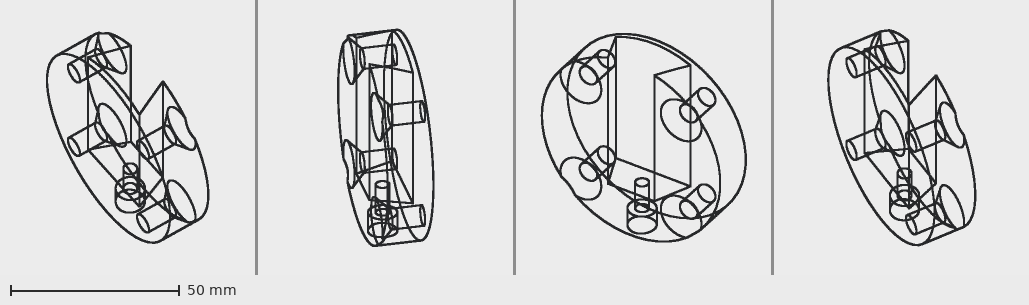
import cadquery as cq

plate_diameter = 63.0
plate_thickness = 14.0
front_y = -plate_thickness / 2
back_y = plate_thickness / 2

mount_hole_diameter = 6.2
mount_hole_spacing = 35.35
countersink_diameter = 14.35
countersink_angle = 90.0

slot_web = 1.9
slot_mouth_width = 16.4
slot_root_width = 26.35
slot_end_z = -15.75

screw_hole_diameter = 4.15
screw_head_diameter = 8.7
screw_head_depth = 6.3

plate_radius = plate_diameter / 2
slot_root_y = front_y + slot_web
screw_y = (slot_root_y + back_y) / 2


def make_plate():
    """Disk with the countersunk holes entered from the back face."""
    disk = cq.Workplane("XZ", origin=(0, back_y, 0)).circle(plate_radius).extrude(plate_thickness)
    return (
        disk.faces(">Y")
        .workplane(centerOption="CenterOfBoundBox")
        .rect(mount_hole_spacing, mount_hole_spacing, forConstruction=True)
        .vertices()
        .cskHole(mount_hole_diameter, countersink_diameter, countersink_angle)
    )


def make_slot():
    """Dovetail prism, widest near the front face."""
    outline = [
        (-slot_root_width / 2, slot_root_y),
        (slot_root_width / 2, slot_root_y),
        (slot_mouth_width / 2, back_y),
        (-slot_mouth_width / 2, back_y),
    ]
    return (
        cq.Workplane("XY", origin=(0, 0, slot_end_z))
        .polyline(outline)
        .close()
        .extrude(plate_radius - slot_end_z)
    )


def make_screw_hole():
    """Screw shank and head clearance, rising from the bottom of the rim."""
    bottom = cq.Workplane("XY", origin=(0, screw_y, -plate_radius))
    shank = bottom.circle(screw_hole_diameter / 2).extrude(plate_radius + slot_end_z)
    head = bottom.circle(screw_head_diameter / 2).extrude(screw_head_depth)
    return shank.union(head)


result = make_plate().cut(make_slot()).cut(make_screw_hole())